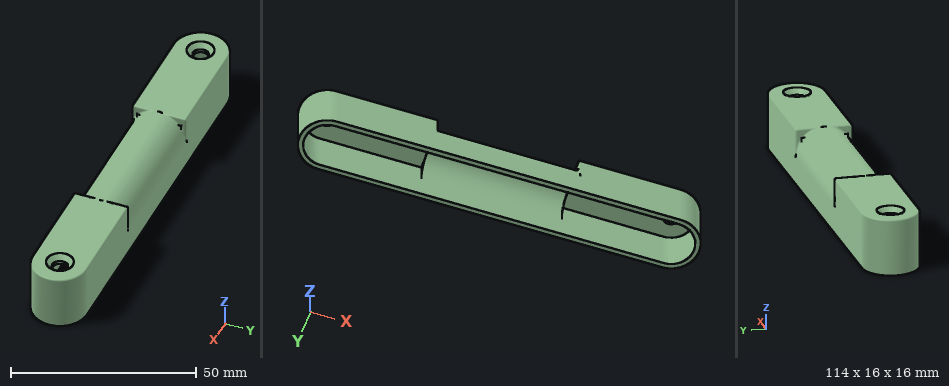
import cadquery as cq

length = 114.0
width = 16.0
height = 16.0
end_radius = width / 2

grip_length = 40.0
grip_radius = width / 2
grip_axis_height = height - grip_radius
block_length = (length - grip_length) / 2

edge_radius = 0.5

cavity_width = 13.0
wall_thickness = (width - cavity_width) / 2
cavity_length = length - 2 * wall_thickness
block_roof_thickness = 2.5
cavity_height = height - block_roof_thickness

hole_spacing = length - 2 * end_radius
hole_diameter = 4.5
countersink_diameter = 7.5
countersink_angle = 90.0


def round_ended_bar(bar_length, bar_width, bar_height):
    return cq.Workplane("XY").slot2D(bar_length, bar_width).extrude(bar_height)


def half_round_rod(radius, rod_length):
    """Upper half of a rod lying along X on the grip axis."""
    return (
        cq.Workplane("YZ", origin=(-rod_length / 2, 0, grip_axis_height))
        .moveTo(-radius, 0)
        .threePointArc((0, radius), (radius, 0))
        .close()
        .extrude(rod_length)
    )


def make_end_blocks():
    """Raised blocks at both ends, rounded on the top rim and the grip-side corners."""
    block_space = cq.Workplane("XY", origin=(grip_length / 2, 0, grip_axis_height)).box(
        block_length, width, height - grip_axis_height, centered=(False, True, False)
    )
    right_block = round_ended_bar(length, width, height).intersect(block_space)
    grip_side_corners = right_block.faces("<X").edges("|Z")
    right_block = right_block.faces(">Z").edges().add(grip_side_corners).fillet(edge_radius)
    return right_block.union(right_block.mirror("YZ"))


def make_cavity():
    """Pocket open at the bottom, flat-roofed in the blocks and arched in the grip."""
    pocket = round_ended_bar(cavity_length, cavity_width, cavity_height)
    grip_span = cq.Workplane("XY", origin=(0, 0, grip_axis_height)).box(
        grip_length, width, height, centered=(True, True, False)
    )
    arch = half_round_rod(cavity_width / 2, grip_length)
    return pocket.cut(grip_span).union(arch)


def drill_screw_holes(body):
    return (
        body.faces(">Z")
        .workplane(origin=(0, 0, height))
        .rarray(hole_spacing, 1.1, 2, 1)
        .cskHole(hole_diameter, countersink_diameter, countersink_angle)
    )


def blend_grip_into_blocks(body):
    """Fillet the arcs where the grip runs into the walls of the end blocks."""
    arc_band = 0.1
    for side in (-1, 1):
        wall = side * grip_length / 2
        band = cq.selectors.BoxSelector(
            (wall - arc_band, -width, grip_axis_height),
            (wall + arc_band, width, height),
        )
        body = body.edges("%CIRCLE").edges(band).fillet(edge_radius)
    return body


base = round_ended_bar(length, width, grip_axis_height)
grip = half_round_rod(grip_radius, grip_length + 2 * edge_radius)
handle = base.union(grip).union(make_end_blocks()).clean()
handle = blend_grip_into_blocks(handle)
handle = handle.cut(make_cavity())
result = drill_screw_holes(handle)